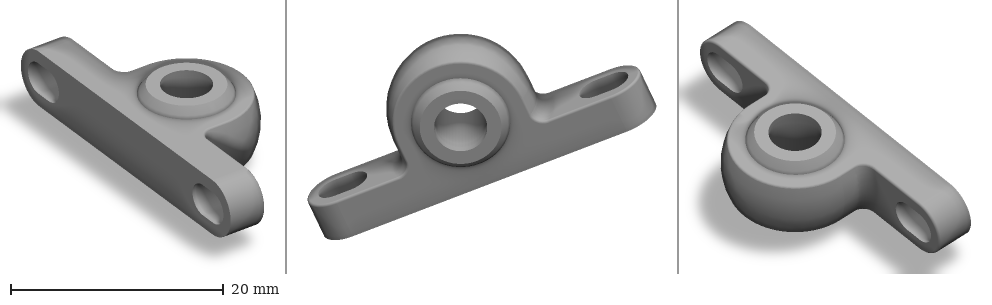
import cadquery as cq

LENGTH = 34.0
THICKNESS = 6.0
BASE_DEPTH = 3.98
BOSS_RADIUS = 7.0
BORE_HEIGHT = BOSS_RADIUS
ROOT_RADIUS = 1.2
EDGE_RADIUS = 0.25

SLOT_LENGTH = 5.0
SLOT_HEIGHT = 3.33
SLOT_OFFSET = 13.33

BALL_RADIUS = 5.55
BALL_WIDTH = 8.0
BORE_DIAMETER = 5.0

BORE_CENTER = (0, BORE_HEIGHT, 0)
EDGE_TOLERANCE = 0.005


def make_base():
    """Flat bar with full-round ends, standing on the mounting face at Y = 0."""
    return cq.Workplane("XZ").slot2D(LENGTH, THICKNESS).extrude(-BASE_DEPTH)


def make_boss():
    """Crowned boss: a spherical end continued to the mounting face by a cylinder."""
    neck = cq.Workplane("XZ").circle(BOSS_RADIUS).extrude(-BORE_HEIGHT)
    crown = cq.Workplane("XY").sphere(BOSS_RADIUS).translate(BORE_CENTER)
    upper_half = cq.Workplane("XY").box(
        2 * BOSS_RADIUS, BOSS_RADIUS, THICKNESS, centered=(True, False, True)
    ).translate(BORE_CENTER)
    lower_half = cq.Workplane("XY").box(
        2 * BOSS_RADIUS, BORE_HEIGHT, THICKNESS, centered=(True, False, True)
    )
    return neck.intersect(lower_half).union(crown.intersect(upper_half))


def fillet_boss_roots(body):
    """Blend the crowned sides of the boss into the base shoulder."""
    half_width = BOSS_RADIUS + EDGE_TOLERANCE
    roots = cq.selectors.BoxSelector(
        (-half_width, BASE_DEPTH - EDGE_TOLERANCE, -EDGE_TOLERANCE),
        (half_width, BASE_DEPTH + EDGE_TOLERANCE, EDGE_TOLERANCE),
    )
    return body.edges(roots).fillet(ROOT_RADIUS)


def round_rim(body):
    """Round the outer edges from the base shoulder upward, on both flat faces."""
    rim = cq.selectors.BoxSelector(
        (-LENGTH, BASE_DEPTH - EDGE_TOLERANCE, -THICKNESS),
        (LENGTH, LENGTH, THICKNESS),
        boundingbox=True,
    )
    rim_edges = body.edges(rim).vals()
    flat_edges = [
        edge for edge in rim_edges
        if abs(edge.Center().z) > THICKNESS / 2 - EDGE_TOLERANCE
    ]
    end_edges = [
        edge for edge in rim_edges
        if abs(edge.Center().x) > (LENGTH - THICKNESS) / 2
    ]
    return body.newObject(flat_edges + end_edges).fillet(EDGE_RADIUS)


def cut_slots(body):
    """Cut the two mounting slots through the depth of the base."""
    slots = (
        cq.Workplane("XZ")
        .pushPoints([(-SLOT_OFFSET, 0), (SLOT_OFFSET, 0)])
        .slot2D(SLOT_LENGTH, SLOT_HEIGHT)
        .extrude(-BASE_DEPTH)
    )
    return body.cut(slots)


def make_ball_blank():
    """Full sphere of the bearing, which also forms the housing socket."""
    return cq.Workplane("XY").sphere(BALL_RADIUS).translate(BORE_CENTER)


def make_housing():
    body = make_base().union(make_boss())
    body = round_rim(fillet_boss_roots(body))
    return cut_slots(body).cut(make_ball_blank())


def make_ball():
    """Ball with flat faces across its width and a through bore."""
    ring = (
        cq.Workplane("XY")
        .circle(BALL_RADIUS)
        .circle(BORE_DIAMETER / 2)
        .extrude(BALL_WIDTH / 2, both=True)
        .translate(BORE_CENTER)
    )
    return make_ball_blank().intersect(ring)


housing = make_housing()
ball = make_ball()
result = cq.Compound.makeCompound([*housing.solids().vals(), *ball.solids().vals()])